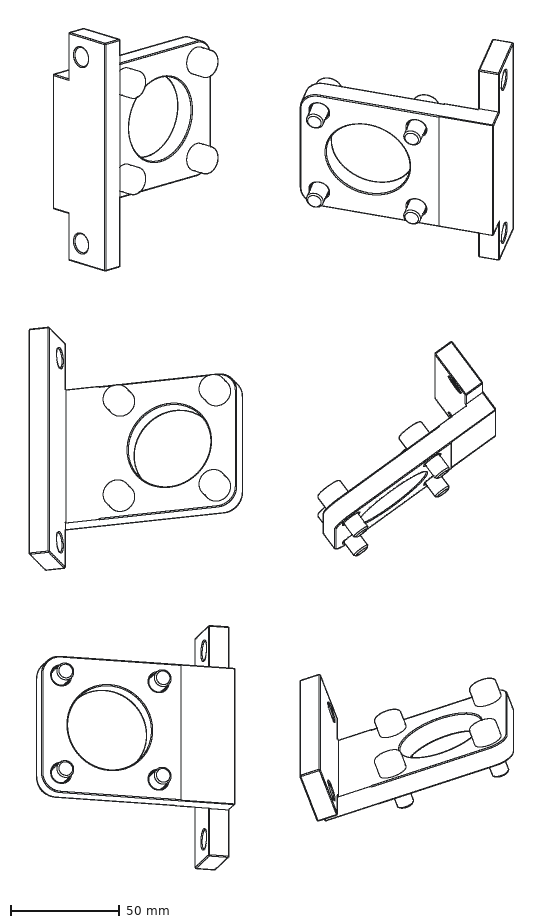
import cadquery as cq


foot_length = 110.0
plate_reach = 92.5

plate_thickness = 9.8
plate_height = 65.0
pad_start = 26.0
face_relief = 0.2
corner_radius = 9.0
edge_chamfer = 0.5
bore_diameter = 40.0

foot_thickness = 10.0
foot_right = 35.0
ear_left = 10.5
foot_hole_diameter = 9.0
foot_hole_x = 19.0
foot_hole_spacing = 90.0

bolt_spacing = 46.5
bolt_hole_diameter = 9.0
shank_diameter = 8.0
shank_protrusion = 8.2
shank_chamfer = 0.8
head_diameter = 13.0
head_height = 8.0
head_fillet = 1.0

half_height = plate_height / 2
bore_y = plate_reach - half_height


def block(x_range, y_range, height):
    """Box between two X and two Y limits, centred on Z = 0."""
    x_size = x_range[1] - x_range[0]
    y_size = y_range[1] - y_range[0]
    return (
        cq.Workplane("XY")
        .box(x_size, y_size, height, centered=(False, False, True))
        .translate((x_range[0], y_range[0], 0))
    )


def rod(x_start, length, diameter, y, z):
    """Cylinder along +X."""
    axis = cq.Vector(1, 0, 0)
    return cq.Workplane(cq.Solid.makeCylinder(diameter / 2, length, cq.Vector(x_start, y, z), axis))


def chamfered_hole(diameter, length, both_ends):
    """Cutter along +Z from the origin, flared at its start and optionally at its end."""
    cutter = cq.Workplane("XY").circle(diameter / 2).extrude(length)
    mouth_radius = diameter / 2 + edge_chamfer
    mouth = cq.Solid.makeCone(mouth_radius, diameter / 2, edge_chamfer)
    cutter = cutter.union(cq.Workplane(mouth))
    if both_ends:
        far_mouth = cq.Solid.makeCone(diameter / 2, mouth_radius, edge_chamfer)
        cutter = cutter.union(cq.Workplane(far_mouth).translate((0, 0, length - edge_chamfer)))
    return cutter


def plate_hole(diameter, y, z, both_ends):
    """Hole cutter through the motor plate, starting at the clamping face."""
    cutter = chamfered_hole(diameter, plate_thickness, both_ends)
    return cutter.rotate((0, 0, 0), (0, 1, 0), 90).translate((0, y, z))


def make_foot_and_arm():
    """T-shaped foot with ears above and below, plus the arm leading to the pad."""
    stem = block((face_relief, foot_right), (0, foot_thickness), plate_height)
    ears = block((ear_left, foot_right), (0, foot_thickness), foot_length)
    arm = block((face_relief, plate_thickness), (0, pad_start), plate_height)
    foot = stem.union(ears).union(arm).clean()

    ear_edges = foot.edges().filter(lambda edge: abs(edge.Center().z) > half_height + edge_chamfer)
    edges = foot.faces("<Y").edges().add(foot.faces(">X").edges()).add(ear_edges)
    foot = edges.newObject(list(set(edges.vals()))).chamfer(edge_chamfer)
    return foot.faces("<X").edges("|Y").chamfer(edge_chamfer - face_relief)


def make_pad():
    """Raised end of the plate with rounded corners, chamfered on both faces."""
    pad = block((0, plate_thickness), (pad_start, plate_reach), plate_height)
    pad = pad.edges("|X and >Y").fillet(corner_radius)
    return pad.faces("<X or >X").edges("not(<Y)").chamfer(edge_chamfer)


def make_bolt(y, z):
    """Cap screw seated on the back of the plate, with its shank passing through."""
    shank_length = plate_thickness + shank_protrusion
    shank = rod(-shank_protrusion, shank_length, shank_diameter, y, z)
    shank = shank.faces("<X").chamfer(shank_chamfer)
    head = rod(plate_thickness, head_height, head_diameter, y, z)
    head = head.faces(">X").edges().fillet(head_fillet)
    return shank.union(head)


bracket = make_foot_and_arm().union(make_pad())
bracket = bracket.cut(plate_hole(bore_diameter, bore_y, 0, both_ends=True))

for side in (-1, 1):
    foot_hole = chamfered_hole(foot_hole_diameter, foot_thickness, both_ends=True)
    foot_hole = foot_hole.rotate((0, 0, 0), (1, 0, 0), -90)
    bracket = bracket.cut(foot_hole.translate((foot_hole_x, 0, side * foot_hole_spacing / 2)))

for y_side in (-1, 1):
    for z_side in (-1, 1):
        bolt_y = bore_y + y_side * bolt_spacing / 2
        bolt_z = z_side * bolt_spacing / 2
        bracket = bracket.cut(plate_hole(bolt_hole_diameter, bolt_y, bolt_z, both_ends=False))
        bracket = bracket.union(make_bolt(bolt_y, bolt_z))

result = cq.Workplane(bracket.solids().val())